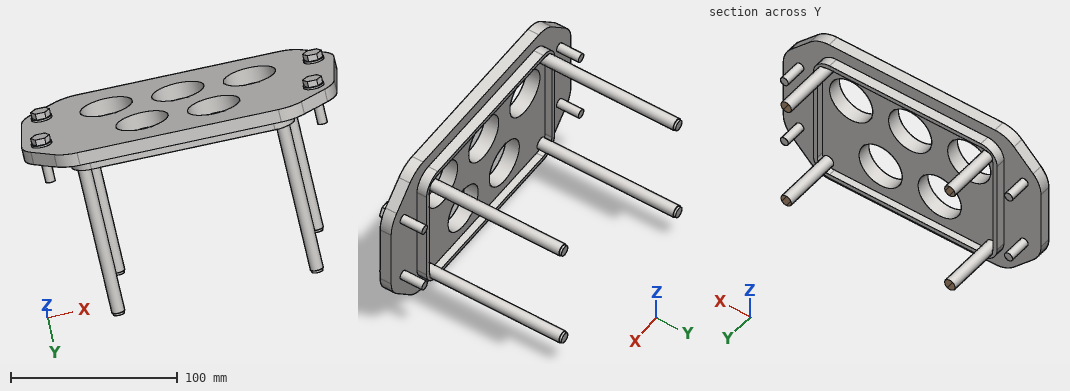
import cadquery as cq

plate_length = 192.0
plate_height = 112.0
plate_thickness = 8.0
corner_cut = 26.0
corner_radius = 20.0

backing_length = 136.9
backing_height = 93.7
backing_thickness = 7.0
backing_corner_radius = 12.0
floor_thickness = 2.0
rim_width = 3.0

hole_diameter = 32.0
hole_pitch = 44.0
hole_row_offset = 21.0

rod_diameter = 8.0
rod_reach = 94.8
rod_tip_diameter = 7.0
rod_tip_length = 1.5
rod_spacing_x = 122.0
rod_spacing_z = 78.0

bolt_diameter = 6.0
bolt_reach = 15.7
bolt_spacing_x = 167.0
bolt_spacing_z = 50.0
flange_diameter = 12.5
flange_thickness = 1.2
head_across_corners = 11.5
head_height = 3.8

plate_back = plate_thickness
backing_back = plate_back + backing_thickness
floor_back = plate_back + floor_thickness
rod_shoulder = backing_back + rod_reach - rod_tip_length
flange_front = -flange_thickness


def plane_at(y):
    """Plane parallel to XZ at the given Y; a negative extrusion goes toward +Y."""
    return cq.Workplane("XZ", origin=(0, y, 0))


def make_front_plate():
    plate = plane_at(0).rect(plate_length, plate_height).extrude(-plate_thickness)
    plate = plate.edges("|Y").chamfer(corner_cut)
    return plate.edges("|Y").fillet(corner_radius)


def make_backing_tray():
    tray = plane_at(plate_back).rect(backing_length, backing_height).extrude(-backing_thickness)
    tray = tray.edges("|Y").fillet(backing_corner_radius)
    pocket_length = backing_length - 2 * rim_width
    pocket_height = backing_height - 2 * rim_width
    pocket = plane_at(floor_back).rect(pocket_length, pocket_height).extrude(-(backing_back - floor_back))
    pocket = pocket.edges("|Y").fillet(backing_corner_radius - rim_width)
    return tray.cut(pocket)


def make_hole_cutters():
    upper_row = [(i * hole_pitch, hole_row_offset) for i in (-1, 0, 1)]
    lower_row = [(i * hole_pitch, -hole_row_offset) for i in (-0.5, 0.5)]
    return plane_at(0).pushPoints(upper_row + lower_row).circle(hole_diameter / 2).extrude(-floor_back)


def at_rods(y):
    """Workplane at the given Y with one point on each rod axis."""
    return plane_at(y).rect(rod_spacing_x, rod_spacing_z, forConstruction=True).vertices()


def make_rods():
    bodies = at_rods(floor_back).circle(rod_diameter / 2).extrude(-(rod_shoulder - floor_back))
    tips = at_rods(rod_shoulder).circle(rod_tip_diameter / 2).extrude(-rod_tip_length)
    return bodies.union(tips)


def at_bolts(y):
    """Workplane at the given Y with one point on each bolt axis."""
    return plane_at(y).rect(bolt_spacing_x, bolt_spacing_z, forConstruction=True).vertices()


def make_bolts():
    shanks = at_bolts(0).circle(bolt_diameter / 2).extrude(-(plate_thickness + bolt_reach))
    flanges = at_bolts(0).circle(flange_diameter / 2).extrude(flange_thickness)
    heads = at_bolts(flange_front).polygon(6, head_across_corners).extrude(head_height)
    return shanks.union(flanges).union(heads)


result = make_front_plate().union(make_backing_tray()).cut(make_hole_cutters())
result = result.union(make_rods()).union(make_bolts())